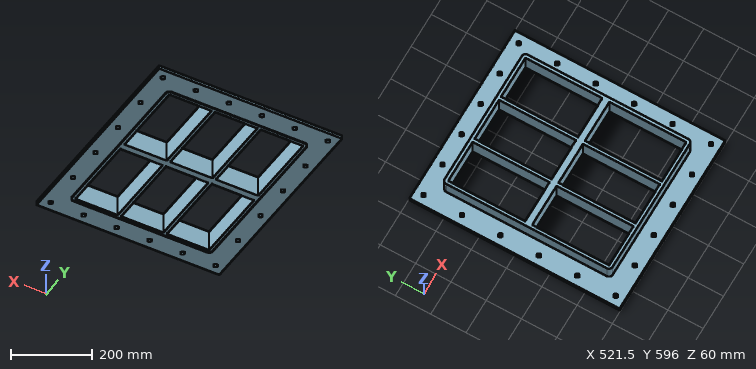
import cadquery as cq

plate_x = 521.5
plate_y = 596.0
plate_thickness = 10.0

frame_margin = 60.0
frame_height = 60.0
frame_below_plate = 2.0
corner_radius = 10.0
frame_x = plate_x - 2 * frame_margin
frame_y = plate_y - 2 * frame_margin

wall = 10.0
cross_rib = 2 * wall
columns = 3
rows = 2
window_x = (frame_x - (columns + 1) * wall) / columns
window_y = (frame_y - 2 * wall - (rows - 1) * cross_rib) / rows

hole_diameter = 11.0
hole_edge_distance = 25.5
holes_per_side = 6
hole_span_x = plate_x - 2 * hole_edge_distance
hole_span_y = plate_y - 2 * hole_edge_distance


def make_plate():
    """Flat flange, centred in X and Y, with a ring of evenly spaced through holes."""
    plate = cq.Workplane("XY").box(plate_x, plate_y, plate_thickness, centered=(True, True, False))
    positions = set()
    for i in range(holes_per_side):
        fraction = i / (holes_per_side - 1) - 0.5
        for side in (-0.5, 0.5):
            positions.add((fraction * hole_span_x, side * hole_span_y))
            positions.add((side * hole_span_x, fraction * hole_span_y))
    return plate.faces(">Z").workplane().pushPoints(sorted(positions)).hole(hole_diameter)


def make_frame():
    """Solid block with rounded vertical corners, passing through the plate."""
    block = cq.Workplane("XY").box(frame_x, frame_y, frame_height, centered=(True, True, False))
    return block.edges("|Z").fillet(corner_radius).translate((0, 0, -frame_below_plate))


def make_windows():
    """Grid of rectangular cutters for the openings between the ribs."""
    return (
        cq.Workplane("XY")
        .workplane(offset=-frame_below_plate)
        .rarray(window_x + wall, window_y + cross_rib, columns, rows)
        .rect(window_x, window_y)
        .extrude(frame_height)
    )


result = make_plate().union(make_frame()).cut(make_windows())